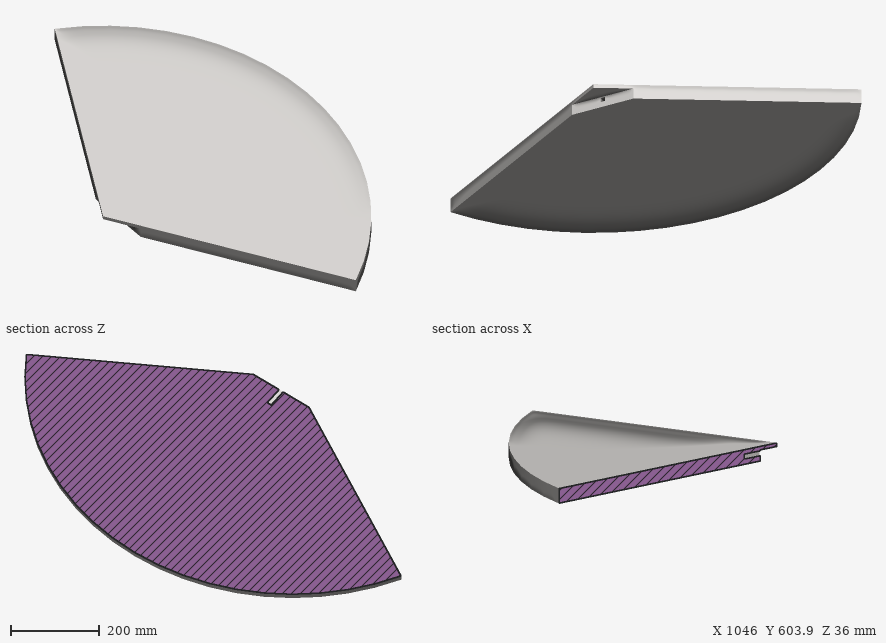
import cadquery as cq
import math

span = 1046.0
sector_angle = 120.0
thickness = 36.0
lip_thickness = 9.0
setback = 45.0
hole_side = 10.0
hole_drop = 2.0
hole_depth = 45.0

half_angle = math.radians(sector_angle / 2)
radius = span / 2 / math.sin(half_angle)
corner_y = radius * math.cos(half_angle)
lip_underside = thickness - lip_thickness


def sector_plate():
    """Circular sector with its tip at the origin, opening toward +Y."""
    return (
        cq.Workplane("XY")
        .lineTo(span / 2, corner_y)
        .threePointArc((0, radius), (-span / 2, corner_y))
        .close()
        .extrude(thickness)
    )


def tip_relief():
    """Block removed below the lip at the tip."""
    relief_width = 2 * setback * math.tan(half_angle)
    return cq.Workplane("XY").box(
        relief_width, setback, lip_underside, centered=(True, False, False)
    )


def tip_hole():
    """Blind square hole in the cut-back face, just below the lip."""
    return (
        cq.Workplane("XY")
        .box(hole_side, hole_depth, hole_side, centered=(True, False, False))
        .translate((0, setback, lip_underside - hole_drop - hole_side))
    )


result = sector_plate().cut(tip_relief()).cut(tip_hole())